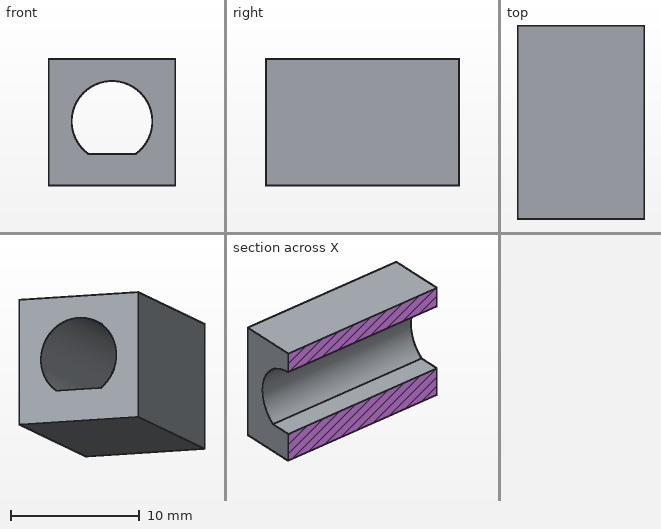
import cadquery as cq

length = 15.0
side = 9.84

bore_diameter = 6.24
bore_center_height = 5.0
flat_height = 2.48

bore_radius = bore_diameter / 2
flat_drop = bore_center_height - flat_height

block = cq.Workplane("XY").box(side, length, side, centered=(True, True, False))


def d_bore():
    """Cylinder along Y with its lower part cut away to leave a flat floor."""
    round_bore = cq.Workplane("XZ").circle(bore_radius).extrude(length / 2, both=True)
    above_flat = (
        cq.Workplane("XY")
        .box(bore_diameter, length, flat_drop + bore_radius, centered=(True, True, False))
        .translate((0, 0, -flat_drop))
    )
    return round_bore.intersect(above_flat).translate((0, 0, bore_center_height))


result = block.cut(d_bore())